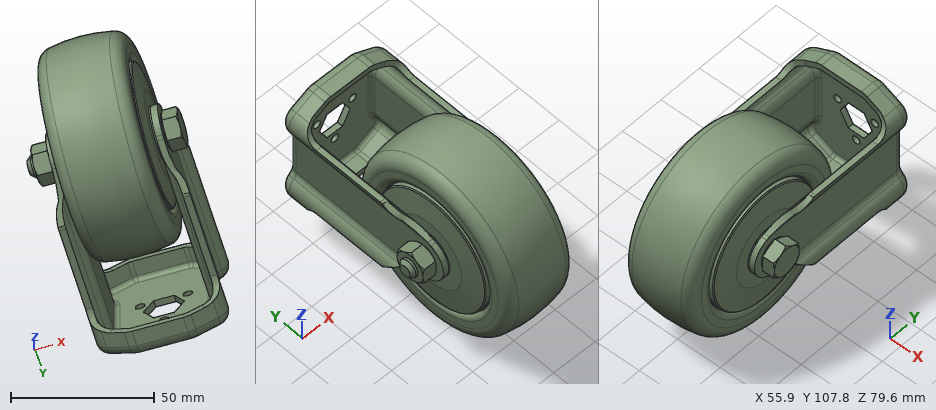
import cadquery as cq
import math


WHEEL_R = 39.8
TREAD_HALF_W = 11.5
TREAD_EDGE_R = 38.6
TYRE_HALF_W = 15.9
SHOULDER_R = 32.8
LIP_R = 29.7
LIP_ROUND = 2.4
HUB_R = 26.7
HUB_CHAMFER = 0.4
HUB_RIM_HALF_W = 16.2
HUB_FACE_R = 16.0
HUB_FACE_HALF_W = 17.3
BOSS_R = 10.0

SHEET_T = 2.6
ARM_OUT_X = 20.4
ARM_IN_X = ARM_OUT_X - SHEET_T
WEB_HALF_H = 9.9
BASE_Y = 68.0
BASE_HALF_H = 28.0
CORNER_R = 6.5
CORNER_X = 17.5
CORNER_Z = 17.5
SLANT_DEG = 26.6
TOP_ROUND = 6.3
BASE_ROUND = 4.3
ARM_HALF_H = CORNER_Z
ARM_TIP_R = 10.0
TAPER_DEG = 21.4
TAPER_ROUND = 4.9
SWEEP_R = 7.7
SWEEP_END_Y = 50.1
RIM_Y = SWEEP_END_Y + SWEEP_R
EDGE_STEPS = 10
CUT_MARGIN = 0.3

HEX_AF = 12.9
PIN_HOLE_R = 1.7
PIN_CIRCLE_R = 10.0
PIN_ANGLES = (30, 150, 270)

BOLT_R = 4.0
TIP_R = 2.6
TIP_CHAMFER = 1.6
BOLT_TIP_X = -29.4
WASHER_FACE_T = 0.4
HEAD_T = 5.7
NUT_T = 6.5
BEVEL_DEG = 30

HEX_CORNER_R = HEX_AF / 2 / math.cos(math.pi / 6)
CUT_LENGTH = 215.7


def polar(centre, radius, degrees):
    """Point at a radius and angle from a centre."""
    angle = math.radians(degrees)
    return (centre[0] + radius * math.cos(angle), centre[1] + radius * math.sin(angle))


def x_cylinder(radius, x_start, x_end):
    """Cylinder along the axle."""
    return cq.Workplane("YZ", origin=(x_start, 0, 0)).circle(radius).extrude(x_end - x_start)


def revolve_about_axle(profile):
    """Turn a closed profile in the XY plane about X."""
    return profile.revolve(360, (0, 0, 0), (1, 0, 0))


def make_wheel():
    """Crowned core with the same tyre side and hub face on both sides."""
    core = revolve_about_axle(
        cq.Workplane("XY")
        .moveTo(-TREAD_HALF_W, BOLT_R)
        .lineTo(TREAD_HALF_W, BOLT_R)
        .lineTo(TREAD_HALF_W, TREAD_EDGE_R)
        .threePointArc((0, WHEEL_R), (-TREAD_HALF_W, TREAD_EDGE_R))
        .close()
    )
    groove_x = TYRE_HALF_W - LIP_ROUND
    lip_mid = polar((groove_x, LIP_R), LIP_ROUND, -45)
    diagonal = math.sin(math.radians(45))
    shoulder_mid = (
        TREAD_HALF_W + (TYRE_HALF_W - TREAD_HALF_W) * diagonal,
        SHOULDER_R + (TREAD_EDGE_R - SHOULDER_R) * diagonal,
    )
    side = revolve_about_axle(
        cq.Workplane("XY")
        .moveTo(TREAD_HALF_W, BOLT_R)
        .lineTo(ARM_IN_X, BOLT_R)
        .lineTo(ARM_IN_X, BOSS_R)
        .lineTo(HUB_FACE_HALF_W, BOSS_R)
        .lineTo(HUB_FACE_HALF_W, HUB_FACE_R)
        .lineTo(HUB_RIM_HALF_W, HUB_R - HUB_CHAMFER)
        .lineTo(HUB_RIM_HALF_W - HUB_CHAMFER, HUB_R)
        .lineTo(groove_x, HUB_R)
        .lineTo(groove_x, LIP_R - LIP_ROUND)
        .threePointArc(lip_mid, (TYRE_HALF_W, LIP_R))
        .lineTo(TYRE_HALF_W, SHOULDER_R)
        .threePointArc(shoulder_mid, (TREAD_HALF_W, TREAD_EDGE_R))
        .close()
    )
    return core.union(side).union(side.mirror("YZ"))


CORNER = (CORNER_X, CORNER_Z)
WAIST_DX = ARM_OUT_X - CORNER_X
WAIST_DZ = CORNER_Z - WEB_HALF_H
WAIST_R = (WAIST_DX**2 + WAIST_DZ**2 - CORNER_R**2) / (2 * (CORNER_R - WAIST_DX))
WAIST = (ARM_OUT_X + WAIST_R, WEB_HALF_H)
WAIST_DEG = math.degrees(math.atan2(WAIST[1] - CORNER_Z, WAIST[0] - CORNER_X))

SLANT_NORMAL_DEG = 90 - SLANT_DEG
SLANT = math.radians(SLANT_DEG)
TOP_Z = BASE_HALF_H - TOP_ROUND
TOP_RISE = TOP_Z - CORNER_Z
TOP = (CORNER_X + (CORNER_R - TOP_ROUND - TOP_RISE * math.cos(SLANT)) / math.sin(SLANT), TOP_Z)


def fork_block(inset, rear_y, rear_round):
    """Bar along Y with the fork outline moved inwards by the inset, its rear edges rounded."""
    waist_r = WAIST_R + inset
    corner_r = CORNER_R - inset
    top_r = TOP_ROUND - inset
    waist_mid_deg = 180 + WAIST_DEG / 2
    corner_mid_deg = (WAIST_DEG + SLANT_NORMAL_DEG) / 2
    top_mid_deg = (SLANT_NORMAL_DEG + 90) / 2
    block = (
        cq.Workplane("XZ", origin=(0, rear_y, 0))
        .moveTo(ARM_OUT_X - inset, 0)
        .lineTo(ARM_OUT_X - inset, WEB_HALF_H)
        .threePointArc(polar(WAIST, waist_r, waist_mid_deg), polar(WAIST, waist_r, 180 + WAIST_DEG))
        .threePointArc(polar(CORNER, corner_r, corner_mid_deg), polar(CORNER, corner_r, SLANT_NORMAL_DEG))
        .lineTo(*polar(TOP, top_r, SLANT_NORMAL_DEG))
        .threePointArc(polar(TOP, top_r, top_mid_deg), polar(TOP, top_r, 90))
        .lineTo(0, BASE_HALF_H - inset)
        .mirrorY()
        .mirrorX()
        .extrude(CUT_LENGTH)
    )
    return block.faces(">Y").edges().fillet(rear_round)


def taper_y(z):
    """Y of the tapered arm edge at height z; the taper is tangent to the round arm tip."""
    taper = math.radians(TAPER_DEG)
    return (z * math.cos(taper) - ARM_TIP_R) / math.sin(taper)


def sheet_point(inset, along):
    """X and Z on the bent sheet, at a depth below its outer face.

    The distance along is measured on the inner face from the crest of the corner bend:
    positive over the bend and onto the slanted side, negative round the waist bend.
    """
    corner_in_r = CORNER_R - SHEET_T
    angle = math.degrees(along / corner_in_r)
    if angle > SLANT_NORMAL_DEG:
        x, z = polar(CORNER, CORNER_R - inset, SLANT_NORMAL_DEG)
        past_bend = along - corner_in_r * math.radians(SLANT_NORMAL_DEG)
        return (x - past_bend * math.cos(SLANT), z + past_bend * math.sin(SLANT))
    if angle < WAIST_DEG:
        past_bend = corner_in_r * math.radians(WAIST_DEG) - along
        turn = math.degrees(past_bend / (WAIST_R + SHEET_T))
        return polar(WAIST, WAIST_R + inset, 180 + WAIST_DEG + turn)
    return polar(CORNER, CORNER_R - inset, angle)


def normal_cutter(edge):
    """Tool that removes the sheet in front of an edge, with the cut face square to the sheet.

    The edge is a list of (distance along the sheet, Y).
    """
    rims = []
    for inset in (-CUT_MARGIN, SHEET_T + CUT_MARGIN):
        points = []
        for along, y in edge:
            x, z = sheet_point(inset, along)
            points.append(cq.Vector(x, y, z))
        rims.append(cq.Edge.makeSpline(points))
    cut_face = cq.Face.makeRuledSurface(*rims)
    return cq.Workplane(cq.Solid.extrudeLinear(cut_face, cq.Vector(0, -CUT_LENGTH, 0)))


def sweep_edge():
    """Quarter round on the unrolled sheet, from the straight arm edge up to the base rim."""
    edge = []
    for step in range(EDGE_STEPS + 1):
        along_drop, rise = polar((0, 0), SWEEP_R, 90 * step / EDGE_STEPS)
        edge.append((SWEEP_R - along_drop, SWEEP_END_Y + rise))
    return edge


def rim_edge():
    """Straight stretch of base rim on the slanted side, next to the sweep."""
    return [(SWEEP_R, RIM_Y), (2 * SWEEP_R, RIM_Y)]


def taper_edge():
    """Taper from the crest of the corner bend round both bends to the flat web."""
    corner_length = (CORNER_R - SHEET_T) * math.radians(-WAIST_DEG)
    waist_length = (WAIST_R + SHEET_T) * math.radians(-WAIST_DEG)
    edge = []
    for step in range(EDGE_STEPS + 1):
        along = -(corner_length + waist_length) * step / EDGE_STEPS
        edge.append((along, taper_y(sheet_point(SHEET_T, along)[1])))
    return edge


def side_block():
    """Block across X with the side outline of the fork: base, straight arm, taper and round tip."""
    rim_z = sheet_point(0, SWEEP_R)[1]
    arm_end_y = taper_y(ARM_HALF_H)
    taper_end_deg = 90 + TAPER_DEG
    taper_end = polar((0, 0), ARM_TIP_R, taper_end_deg)
    tip_mid = polar((0, 0), ARM_TIP_R, (taper_end_deg + 180) / 2)
    block = (
        cq.Workplane("YZ", origin=(-CUT_LENGTH / 2, 0, 0))
        .moveTo(-ARM_TIP_R, 0)
        .threePointArc(tip_mid, taper_end)
        .lineTo(arm_end_y, ARM_HALF_H)
        .lineTo(SWEEP_END_Y, ARM_HALF_H)
        .lineTo(SWEEP_END_Y, rim_z)
        .lineTo(RIM_Y, rim_z)
        .lineTo(RIM_Y, BASE_HALF_H)
        .lineTo(BASE_Y, BASE_HALF_H)
        .lineTo(BASE_Y, 0)
        .mirrorX()
        .extrude(CUT_LENGTH)
    )
    for z in (ARM_HALF_H, -ARM_HALF_H):
        block = block.edges(cq.NearestToPointSelector((0, arm_end_y, z))).fillet(TAPER_ROUND)
    return block


def make_fork():
    """Bent sheet fork: a shell open towards -Y, trimmed to its side outline, with its holes."""
    outside = fork_block(0, BASE_Y, BASE_ROUND)
    inside = fork_block(SHEET_T, BASE_Y - SHEET_T, BASE_ROUND - SHEET_T)
    fork = outside.cut(inside).intersect(side_block())

    for edge in (sweep_edge(), rim_edge(), taper_edge()):
        upper = normal_cutter(edge)
        for cutter in (upper, upper.mirror("XY")):
            fork = fork.cut(cutter).cut(cutter.mirror("YZ"))

    fork = fork.cut(x_cylinder(BOLT_R, -CUT_LENGTH / 2, CUT_LENGTH / 2))

    base = cq.Workplane("XZ", origin=(0, BASE_Y, 0))
    hex_hole = base.polygon(6, 2 * HEX_CORNER_R).extrude(SHEET_T)
    pin_points = [polar((0, 0), PIN_CIRCLE_R, angle) for angle in PIN_ANGLES]
    pin_holes = base.pushPoints(pin_points).circle(PIN_HOLE_R).extrude(SHEET_T)
    return fork.cut(hex_hole).cut(pin_holes)


def hex_prism(x_start, length, bevel_start, bevel_end):
    """Hexagon along the axle with two corners up and down, its corners bevelled at chosen ends."""
    bevel_r = HEX_CORNER_R - HEX_AF / 2
    bevel_x = bevel_r * math.tan(math.radians(BEVEL_DEG))
    prism = (
        cq.Workplane("YZ", origin=(x_start, 0, 0))
        .transformed(rotate=(0, 0, 90))
        .polygon(6, 2 * HEX_CORNER_R)
        .extrude(length)
    )
    envelope = x_cylinder(HEX_CORNER_R, x_start, x_start + length)
    if bevel_start:
        envelope = envelope.faces("<X").chamfer(bevel_x, bevel_r)
    if bevel_end:
        envelope = envelope.faces(">X").chamfer(bevel_x, bevel_r)
    return prism.intersect(envelope)


def make_bolt():
    """Shank with a tapered tip at -X, washer face and hexagon head at +X."""
    shank = x_cylinder(BOLT_R, BOLT_TIP_X, ARM_OUT_X).faces("<X").chamfer(TIP_CHAMFER, BOLT_R - TIP_R)
    head_x = ARM_OUT_X + WASHER_FACE_T
    washer_face = x_cylinder(HEX_AF / 2, ARM_OUT_X, head_x)
    head = hex_prism(head_x, HEAD_T, False, True)
    return shank.union(washer_face).union(head)


def make_nut():
    """Hexagon nut against the outer face of the -X arm."""
    nut = hex_prism(-ARM_OUT_X - NUT_T, NUT_T, True, True)
    return nut.cut(x_cylinder(BOLT_R, -CUT_LENGTH / 2, CUT_LENGTH / 2))


wheel = make_wheel()
fork = make_fork()
bolt = make_bolt()
nut = make_nut()

result = cq.Compound.makeCompound([body.solids().val() for body in (wheel, fork, bolt, nut)])